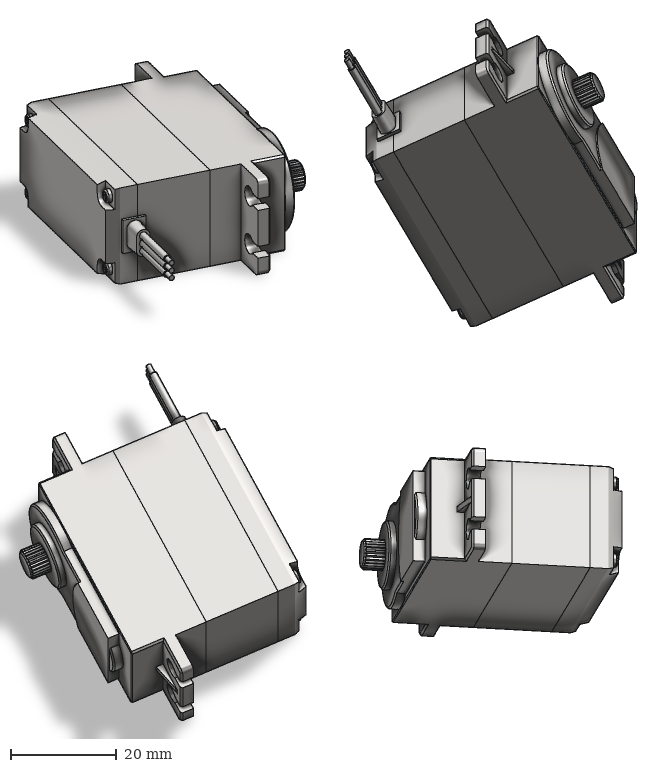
import cadquery as cq
import math


overall_length = 66.1
case_length = 40.7
case_width = 20.2
taper_height = 2.7
taper_inset = 0.8
cover_top = 6.3
middle_top = 21.35
tab_bottom = 27.75
tab_top = 30.4
case_top = 37.0
edge_chamfer = 0.4
top_chamfer = 0.2

tab_span = 56.3
tab_corner_radius = 1.05
tab_hole_x = 24.05
tab_hole_z = 5.0
tab_hole_radius = 2.0
tab_slot_width = 2.45
rib_thickness = 1.1
rib_height = 1.45
rib_end_x = 26.8

shaft_x = (case_length - case_width) / 2
boss_radius = case_width / 2
boss_top = 39.05
boss_chamfer = 0.3
plate_width = 17.85
plate_top = 39.3
plate_left = -14.95
plate_right = -1.8
plate_bulge = 2.25
lobe_radius = 6.75
lobe_left = -16.8
ring_radius = 6.55
ring_top = 40.5
ring_chamfer = 0.3

shaft_top = 44.6
tooth_count = 25
tooth_tip_radius = 3.0
tooth_root_radius = 2.7
shaft_chamfer = 0.45

screw_x = 17.8
screw_z = 7.6
pocket_radius = 2.0
pocket_floor = 1.7
screw_radius = 1.3
screw_height = 1.05
screw_chamfer = 0.3
cross_length = 1.7
cross_width = 0.45
cross_depth = 0.5

cable_y = 5.4
flange_width = 7.0
flange_height = 4.8
flange_thickness = 0.6
boot_width = 6.1
boot_height = 3.25
boot_end_x = 24.9
boot_taper = 3.0
wire_count = 3
wire_pitch = 1.6
wire_radius = 0.76
wire_end_x = 35.9
strand_radius = 0.5
strand_end_x = overall_length - tab_span / 2


def plane_at(y):
    """Sketch plane at height y: local x is X, local y is Z."""
    return cq.Workplane("XZ", origin=(0, y, 0))


def block(length, width, y_start, y_end):
    """Box centred on X and Z between two heights."""
    return plane_at(y_start).rect(length, width).extrude(y_start - y_end)


def disc(x, z, radius, y_start, y_end):
    """Cylinder along Y between two heights."""
    return plane_at(y_start).center(x, z).circle(radius).extrude(y_start - y_end)


def tab_plate():
    plate = block(tab_span, case_width, tab_bottom, tab_top)
    plate = plate.edges("|Y").fillet(tab_corner_radius)
    plate = plate.faces(">Y").chamfer(edge_chamfer)
    slot_length = tab_span / 2 - tab_hole_x
    for side in (-1, 1):
        for z in (-tab_hole_z, tab_hole_z):
            hole = disc(side * tab_hole_x, z, tab_hole_radius, tab_bottom, tab_top)
            slot = block(slot_length, tab_slot_width, tab_bottom, tab_top)
            slot = slot.translate((side * (tab_hole_x + slot_length / 2), 0, z))
            plate = plate.cut(hole).cut(slot)
    return plate


def tab_ribs():
    """Triangular ribs from the tabs up to the end walls, as one wide triangle crossing the case."""
    wall_x = case_length / 2
    peak_y = tab_top + rib_height
    outline = [(-rib_end_x, tab_top), (rib_end_x, tab_top), (wall_x, peak_y), (-wall_x, peak_y)]
    return cq.Workplane("XY").polyline(outline).close().extrude(rib_thickness / 2, both=True)


def gear_cover():
    boss = disc(shaft_x, 0, boss_radius, case_top, boss_top)
    low_plate = (
        plane_at(case_top)
        .center((plate_left + shaft_x) / 2, 0)
        .rect(shaft_x - plate_left, plate_width)
        .extrude(case_top - boss_top)
    )
    cover = boss.union(low_plate).faces(">Y").chamfer(boss_chamfer)

    lobe = disc(lobe_left + lobe_radius, 0, lobe_radius, case_top, boss_top)
    lobe = lobe.faces(">Y").chamfer(boss_chamfer)
    half_width = plate_width / 2
    high_plate = (
        plane_at(case_top)
        .moveTo(plate_left, -half_width)
        .lineTo(plate_right, -half_width)
        .threePointArc((plate_right + plate_bulge, 0), (plate_right, half_width))
        .lineTo(plate_left, half_width)
        .close()
        .extrude(case_top - plate_top)
    )
    ring = disc(shaft_x, 0, ring_radius, case_top, ring_top).faces(">Y").chamfer(ring_chamfer)
    return cover.union(lobe).union(high_plate).union(ring)


def spline():
    points = []
    for i in range(2 * tooth_count):
        radius = tooth_tip_radius if i % 2 == 0 else tooth_root_radius
        angle = math.pi * i / tooth_count
        points.append((radius * math.cos(angle), radius * math.sin(angle)))
    teeth = plane_at(ring_top).center(shaft_x, 0).polyline(points).close().extrude(ring_top - shaft_top)
    envelope = disc(shaft_x, 0, tooth_tip_radius, ring_top, shaft_top)
    return teeth.intersect(envelope.faces(">Y").chamfer(shaft_chamfer))


def make_top_case():
    lower = block(case_length, case_width, middle_top, tab_top - edge_chamfer)
    upper = block(case_length, case_width, tab_top - edge_chamfer, case_top)
    upper = upper.edges("|Y").chamfer(edge_chamfer).faces(">Y").chamfer(top_chamfer)
    return lower.union(upper).union(tab_plate()).union(tab_ribs()).union(gear_cover()).union(spline())


def make_middle_case():
    return block(case_length, case_width, cover_top, middle_top)


def screw_pocket(side_x, side_z):
    """Corner recess, round towards the middle of the cover and open at both outer walls."""
    x = side_x * screw_x
    z = side_z * screw_z
    reach = 2 * pocket_radius
    shift_x = side_x * reach / 2
    shift_z = side_z * reach / 2
    pocket = disc(x, z, pocket_radius, 0, pocket_floor)
    opening = block(reach, reach, 0, pocket_floor)
    for offset_x, offset_z in ((shift_x, 0), (0, shift_z), (shift_x, shift_z)):
        pocket = pocket.union(opening.translate((x + offset_x, 0, z + offset_z)))
    return pocket


def screw_head(x, z):
    head_bottom = pocket_floor - screw_height
    head = disc(0, 0, screw_radius, head_bottom, pocket_floor).faces("<Y").chamfer(screw_chamfer)
    for length, width in ((cross_length, cross_width), (cross_width, cross_length)):
        head = head.cut(block(length, width, head_bottom, head_bottom + cross_depth))
    return head.translate((x, 0, z))


def make_bottom_cover():
    taper = (
        plane_at(0)
        .rect(case_length - 2 * taper_inset, case_width - 2 * taper_inset)
        .workplane(offset=-taper_height)
        .rect(case_length, case_width)
        .loft(ruled=True)
    )
    cover = taper.union(block(case_length, case_width, taper_height, cover_top))
    for side_x in (-1, 1):
        for side_z in (-1, 1):
            cover = cover.cut(screw_pocket(side_x, side_z))
            cover = cover.union(screw_head(side_x * screw_x, side_z * screw_z))
    return cover


def make_cable():
    """Flanged boot against the end wall, with the wires and their bare ends."""
    wall_x = case_length / 2
    boot_x = wall_x + flange_thickness
    wall_plane = cq.Workplane("YZ", origin=(wall_x, cable_y, 0))
    boot_plane = wall_plane.workplane(offset=flange_thickness)
    end_plane = wall_plane.workplane(offset=boot_end_x - wall_x)

    cable = wall_plane.rect(flange_height, flange_width).extrude(flange_thickness)
    boot = boot_plane.slot2D(boot_width, boot_height, 90).extrude(boot_end_x - boot_x, taper=boot_taper)
    cable = cable.union(boot)
    for i in range(wire_count):
        z = (i - (wire_count - 1) / 2) * wire_pitch
        wire = end_plane.center(0, z).circle(wire_radius).extrude(wire_end_x - boot_end_x)
        strand = end_plane.center(0, z).circle(strand_radius).extrude(strand_end_x - boot_end_x)
        cable = cable.union(wire).union(strand)
    return cable


top_case = make_top_case()
middle_case = make_middle_case()
bottom_cover = make_bottom_cover()
cable = make_cable()

result = cq.Compound.makeCompound([top_case.val(), middle_case.val(), bottom_cover.val(), cable.val()])